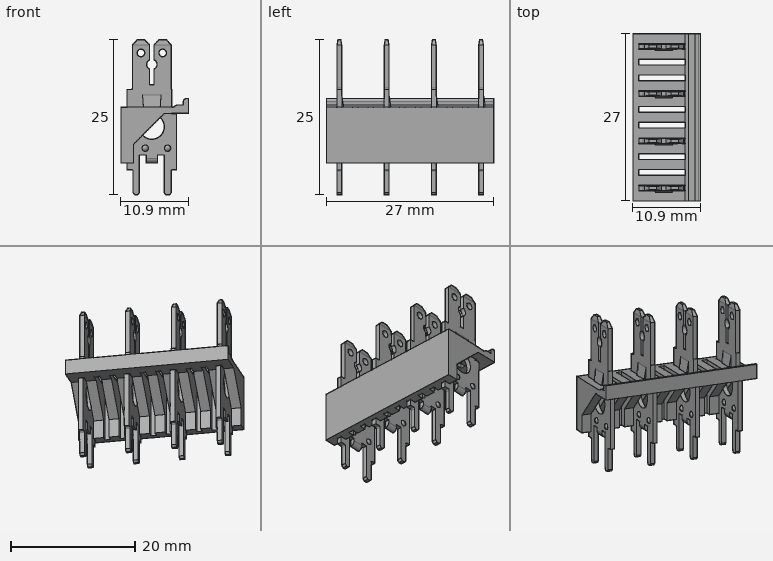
import cadquery as cq

TERMINAL_COUNT = 4
PITCH = 7.6
SLOTS_PER_PITCH = 3

HOUSING_LENGTH = 26.98
HOUSING_WIDTH = 10.9
HOUSING_BOTTOM = 5.13
HOUSING_TOP = 14.15
WALL_THICKNESS = 2.02
WALL_STEP_Z = 8.15
SHELF_THICKNESS = 1.0
SHELF_BOTTOM = HOUSING_TOP - SHELF_THICKNESS
RAMP_START_X = 8.4
RAMP_END_X = 8.98
RAIL_Z = 14.5
LIP_TOP = 15.55
LIP_THICKNESS = 0.85
LIP_RADIUS = 0.5
SLOT_START_X = 0.97
SLOT_END_X = RAMP_START_X
SLOT_WIDTH = 0.9

THICKNESS = 0.78
PLATE_LEFT = SLOT_START_X
PLATE_RIGHT = 8.2
PLATE_BOTTOM = 4.05
PLATE_SHOULDER_Z = 17.0
FOOT_RIGHT = 8.98
FOOT_TOP = 13.05
FOOT_CHAMFER = 0.1
CORNER_RADIUS = 0.2
WINDOW_DIAMETER = 4.0
WINDOW_Z = 10.98

BLADE_LEFT = 1.83
BLADE_RIGHT = 8.12
AXIS_X = (BLADE_LEFT + BLADE_RIGHT) / 2
BLADE_GAP = 0.67
TERMINAL_TOP = 25.0
TIP_HEIGHT = 0.85
TIP_BASE_Z = TERMINAL_TOP - TIP_HEIGHT
TIP_WIDTH = 1.2
TIP_THICKNESS = 0.49
GAP_BOTTOM = 17.78
RELIEF_DIAMETER = 1.65
RELIEF_Z = 21.02
BLADE_HOLE_DIAMETER = 1.2
BLADE_HOLE_Z = 22.88
BLADE_HOLE_SPACING = 3.5
BLADE_HOLE_XS = (AXIS_X - BLADE_HOLE_SPACING / 2, AXIS_X + BLADE_HOLE_SPACING / 2)

LEG_LEFT = 1.95
LEG_RIGHT = 8.12
LEFT_LEG_WIDTH = 1.05
RIGHT_LEG_WIDTH = 1.15
LEG_TIP_HEIGHT = 0.38
LEG_TIP_INSET = 0.3
CROTCH_Z = 6.4
TAB_LEFT = 4.05
TAB_RIGHT = 5.9
TAB_BOTTOM = HOUSING_BOTTOM

LATCH_TOP = 16.13
LATCH_TOP_WIDTH = 3.0
LATCH_BOTTOM_WIDTH = 2.7
LATCH_DEPTH = 0.3
DIMPLE_DIAMETER = 1.03
DIMPLE_HEIGHT = 0.3
DIMPLE_Z = 7.53
DIMPLE_XS = (3.9, 7.53)


def box(x_range, y_range, z_range):
    """Box spanning the given (low, high) ranges."""
    low = [r[0] for r in (x_range, y_range, z_range)]
    size = [r[1] - r[0] for r in (x_range, y_range, z_range)]
    return cq.Workplane("XY").box(*size, centered=False).translate(tuple(low))


def extrude_along_y(sketch, depth):
    """Extrude an XZ sketch to the full depth, centred on Y = 0."""
    return sketch.extrude(depth).translate((0, depth / 2, 0))


def cylinder_along_y(x, z, diameter):
    """Cylinder along Y that reaches beyond both faces of a terminal."""
    return extrude_along_y(cq.Workplane("XZ").center(x, z).circle(diameter / 2), 2 * THICKNESS)


def make_housing():
    """Wall and sloped shelf with a lipped rail, cut by evenly spaced vertical slots."""
    lip_x = HOUSING_WIDTH - LIP_THICKNESS
    slope_end_x = WALL_THICKNESS + SHELF_BOTTOM - WALL_STEP_Z
    outline = (
        cq.Workplane("XZ")
        .moveTo(0, HOUSING_BOTTOM)
        .lineTo(WALL_THICKNESS, HOUSING_BOTTOM)
        .lineTo(WALL_THICKNESS, WALL_STEP_Z)
        .lineTo(slope_end_x, SHELF_BOTTOM)
        .lineTo(HOUSING_WIDTH, SHELF_BOTTOM)
        .lineTo(HOUSING_WIDTH, LIP_TOP)
        .lineTo(lip_x + LIP_RADIUS, LIP_TOP)
        .radiusArc((lip_x, LIP_TOP - LIP_RADIUS), -LIP_RADIUS)
        .lineTo(lip_x, RAIL_Z)
        .lineTo(RAMP_END_X, RAIL_Z)
        .lineTo(RAMP_START_X, HOUSING_TOP)
        .lineTo(0, HOUSING_TOP)
        .close()
    )
    body = extrude_along_y(outline, HOUSING_LENGTH)

    slot_count = (TERMINAL_COUNT - 1) * SLOTS_PER_PITCH + 1
    slots = (
        cq.Workplane("XY", origin=((SLOT_START_X + SLOT_END_X) / 2, 0, HOUSING_BOTTOM))
        .rarray(0.27, PITCH / SLOTS_PER_PITCH, 1, slot_count)
        .rect(SLOT_END_X - SLOT_START_X, SLOT_WIDTH)
        .extrude(HOUSING_TOP - HOUSING_BOTTOM)
    )
    return body.cut(slots)


def make_plate():
    """Flat plate with stepped shoulders, a wider foot, tapered legs and the lower part of the blades."""
    crotch_left = LEG_LEFT + LEFT_LEG_WIDTH
    crotch_right = LEG_RIGHT - RIGHT_LEG_WIDTH
    outline = (
        cq.Workplane("XZ")
        .moveTo(PLATE_LEFT, PLATE_BOTTOM)
        .lineTo(LEG_LEFT - CORNER_RADIUS, PLATE_BOTTOM)
        .radiusArc((LEG_LEFT, PLATE_BOTTOM - CORNER_RADIUS), CORNER_RADIUS)
        .lineTo(LEG_LEFT, LEG_TIP_HEIGHT)
        .lineTo(LEG_LEFT + LEG_TIP_INSET, 0)
        .lineTo(crotch_left - LEG_TIP_INSET, 0)
        .lineTo(crotch_left, LEG_TIP_HEIGHT)
        .lineTo(crotch_left, CROTCH_Z)
        .lineTo(crotch_right, CROTCH_Z)
        .lineTo(crotch_right, LEG_TIP_HEIGHT)
        .lineTo(crotch_right + LEG_TIP_INSET, 0)
        .lineTo(LEG_RIGHT - LEG_TIP_INSET, 0)
        .lineTo(LEG_RIGHT, LEG_TIP_HEIGHT)
        .lineTo(LEG_RIGHT, PLATE_BOTTOM - CORNER_RADIUS)
        .radiusArc((LEG_RIGHT + CORNER_RADIUS, PLATE_BOTTOM), CORNER_RADIUS)
        .lineTo(FOOT_RIGHT, PLATE_BOTTOM)
        .lineTo(FOOT_RIGHT, FOOT_TOP - FOOT_CHAMFER)
        .lineTo(FOOT_RIGHT - FOOT_CHAMFER, FOOT_TOP)
        .lineTo(PLATE_RIGHT, FOOT_TOP)
        .lineTo(PLATE_RIGHT, PLATE_SHOULDER_Z)
        .lineTo(BLADE_RIGHT, PLATE_SHOULDER_Z)
        .lineTo(BLADE_RIGHT, TIP_BASE_Z)
        .lineTo(BLADE_LEFT, TIP_BASE_Z)
        .lineTo(BLADE_LEFT, PLATE_SHOULDER_Z + CORNER_RADIUS)
        .radiusArc((BLADE_LEFT - CORNER_RADIUS, PLATE_SHOULDER_Z), CORNER_RADIUS)
        .lineTo(PLATE_LEFT, PLATE_SHOULDER_Z)
        .close()
    )
    plate = extrude_along_y(outline, THICKNESS)
    return plate.cut(cylinder_along_y(AXIS_X, WINDOW_Z, WINDOW_DIAMETER))


def cut_blades(plate):
    """Split the plate top into two blades and drill them."""
    half_gap = BLADE_GAP / 2
    gap = box(
        (AXIS_X - half_gap, AXIS_X + half_gap),
        (-THICKNESS, THICKNESS),
        (GAP_BOTTOM, TIP_BASE_Z),
    )
    plate = plate.cut(gap).cut(cylinder_along_y(AXIS_X, RELIEF_Z, RELIEF_DIAMETER))
    for x in BLADE_HOLE_XS:
        plate = plate.cut(cylinder_along_y(x, BLADE_HOLE_Z, BLADE_HOLE_DIAMETER))
    return plate


def make_blade_tip(blade_range, tip_x):
    """Tip that narrows in width and thickness towards the top."""
    left, right = blade_range
    base_x = (left + right) / 2
    return (
        cq.Workplane("XY", origin=(base_x, 0, TIP_BASE_Z))
        .rect(right - left, THICKNESS)
        .workplane(offset=TIP_HEIGHT)
        .center(tip_x - base_x, 0)
        .rect(TIP_WIDTH, TIP_THICKNESS)
        .loft(ruled=True)
    )


def make_tab():
    """Tab between the legs, its lower front edge rounded across the whole thickness."""
    half = THICKNESS / 2
    tab = box((TAB_LEFT, TAB_RIGHT), (-half, half), (TAB_BOTTOM, CROTCH_Z))
    rounding = (
        cq.Workplane("YZ", origin=(TAB_LEFT, 0, 0))
        .moveTo(-half, TAB_BOTTOM)
        .lineTo(-half, TAB_BOTTOM + THICKNESS)
        .radiusArc((half, TAB_BOTTOM), -THICKNESS)
        .close()
        .extrude(TAB_RIGHT - TAB_LEFT)
    )
    return tab.cut(rounding)


def make_latch():
    """Wedge on the front face, deepest where it rests on the housing."""
    face_y = -THICKNESS / 2
    front = (
        cq.Workplane("XZ", origin=(AXIS_X, face_y, 0))
        .moveTo(-LATCH_TOP_WIDTH / 2, LATCH_TOP)
        .lineTo(LATCH_TOP_WIDTH / 2, LATCH_TOP)
        .lineTo(LATCH_BOTTOM_WIDTH / 2, HOUSING_TOP)
        .lineTo(-LATCH_BOTTOM_WIDTH / 2, HOUSING_TOP)
        .close()
        .extrude(LATCH_DEPTH)
    )
    slope = (
        cq.Workplane("YZ", origin=(AXIS_X, 0, 0))
        .moveTo(face_y, LATCH_TOP)
        .lineTo(face_y, HOUSING_TOP)
        .lineTo(face_y - LATCH_DEPTH, HOUSING_TOP)
        .close()
        .extrude(LATCH_TOP_WIDTH, both=True)
    )
    return front.intersect(slope)


def make_dimple(x):
    """Spherical dome on the front face."""
    rim_radius = DIMPLE_DIAMETER / 2
    sphere_radius = (rim_radius**2 + DIMPLE_HEIGHT**2) / (2 * DIMPLE_HEIGHT)
    return (
        cq.Workplane("XY", origin=(x, -THICKNESS / 2, DIMPLE_Z))
        .lineTo(rim_radius, 0)
        .radiusArc((0, -DIMPLE_HEIGHT), sphere_radius)
        .close()
        .revolve(360, (0, 0), (0, 1))
    )


def make_terminal(y):
    """One terminal with blades, legs, tab, latch and dimples, centred at the given Y."""
    half_gap = BLADE_GAP / 2
    terminal = cut_blades(make_plate())
    blade_ranges = ((BLADE_LEFT, AXIS_X - half_gap), (AXIS_X + half_gap, BLADE_RIGHT))
    for blade_range, tip_x in zip(blade_ranges, BLADE_HOLE_XS):
        terminal = terminal.union(make_blade_tip(blade_range, tip_x))
    terminal = terminal.union(make_tab()).union(make_latch())
    for x in DIMPLE_XS:
        terminal = terminal.union(make_dimple(x))
    return terminal.translate((0, y, 0))


housing = make_housing()

terminals = []
for index in range(TERMINAL_COUNT):
    terminal_y = (index - (TERMINAL_COUNT - 1) / 2) * PITCH
    terminals.append(make_terminal(terminal_y).val())

result = cq.Compound.makeCompound([housing.val(), *terminals])